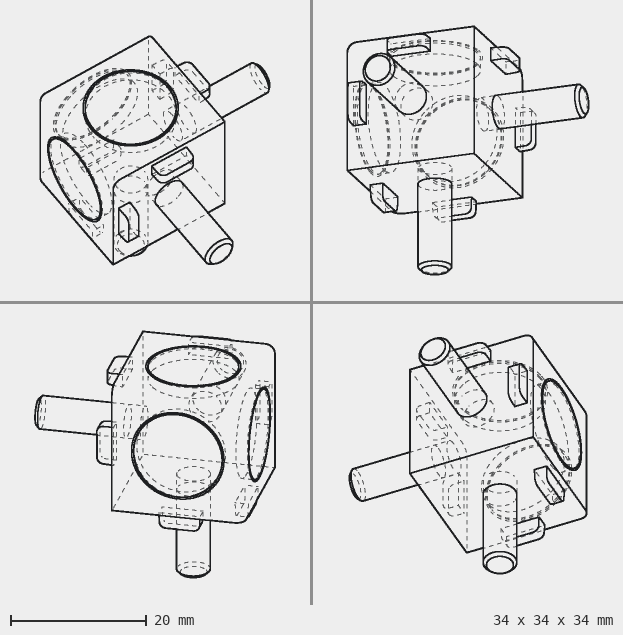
import cadquery as cq


OVERALL = 33.95
CUBE = 20.0
HALF_CUBE = CUBE / 2
CUBE_FILLET = 1.5

PIN_DIAMETER = 5.0
PIN_LENGTH_OUTSIDE = 13.5
PIN_CHAMFER = 0.5
PIN_DEPTH = PIN_DIAMETER / 2

CAP_MOUTH_DIAMETER = 14.02
CAP_CHAMFER = 0.3
CAP_CHAMFER_ANGLE = 45
CAP_DIAMETER = CAP_MOUTH_DIAMETER - 2 * CAP_CHAMFER
CAP_DOME_RISE = OVERALL - CUBE - PIN_LENGTH_OUTSIDE
CAP_DEPTH = 2.0

TAB_LENGTH = 6.2
TAB_THICKNESS = 2.0
TAB_HEIGHT = 2.5
TAB_DRAFT = 2.0
TAB_CORNER_RADIUS = 1.0
TAB_EDGE_DISTANCE = 1.0
TAB_OFFSET = HALF_CUBE - TAB_EDGE_DISTANCE - TAB_THICKNESS / 2

DIAGONAL = (1, 1, -1)
TURNS = (0, 120, 240)

PIN_FACE = cq.Plane(origin=(HALF_CUBE, 0, 0), xDir=(0, 1, 0), normal=(1, 0, 0))
CAPPED_FACE = cq.Plane(origin=(-HALF_CUBE, 0, 0), xDir=(0, -1, 0), normal=(-1, 0, 0))


def turned(body, angle):
    """A copy of a body, turned about the cube diagonal."""
    return body.rotate((0, 0, 0), DIAGONAL, angle)


def make_tab(y, z, turn):
    """A drafted tab on the +X face with two rounded corners at its outer end."""
    tab = (
        cq.Workplane("XY")
        .rect(TAB_LENGTH, TAB_THICKNESS)
        .extrude(TAB_HEIGHT, taper=TAB_DRAFT)
        .faces(">Z").edges("|Y").fillet(TAB_CORNER_RADIUS)
        .rotate((0, 0, 0), (0, 0, 1), turn)
    )
    placed = tab.val().moved(cq.Location(PIN_FACE)).moved(cq.Location(cq.Vector(0, y, z)))
    return cq.Workplane(placed)


def make_pin_hole():
    return cq.Workplane(PIN_FACE).circle(PIN_DIAMETER / 2).extrude(-PIN_DEPTH)


def make_cap_recess():
    """The round recess for a cap, with a chamfered rim."""
    recess = cq.Workplane(CAPPED_FACE).circle(CAP_DIAMETER / 2).extrude(-CAP_DEPTH)
    rim = (
        cq.Workplane(CAPPED_FACE)
        .circle(CAP_MOUTH_DIAMETER / 2)
        .extrude(-CAP_CHAMFER, taper=CAP_CHAMFER_ANGLE)
    )
    return recess.union(rim)


def make_housing():
    """The cube with its capped edges rounded, the tabs added and the holes and recesses cut."""
    housing = cq.Workplane("XY").box(CUBE, CUBE, CUBE)
    housing = housing.edges("(<X and <Y) or (<X and >Z) or (<Y and >Z)").fillet(CUBE_FILLET)
    tab_near_plus_z = make_tab(0, TAB_OFFSET, 0)
    tab_near_minus_y = make_tab(-TAB_OFFSET, 0, 90)
    pin_hole = make_pin_hole()
    cap_recess = make_cap_recess()
    for angle in TURNS:
        housing = housing.union(turned(tab_near_plus_z, angle))
        housing = housing.union(turned(tab_near_minus_y, angle))
        housing = housing.cut(turned(pin_hole, angle))
        housing = housing.cut(turned(cap_recess, angle))
    return housing


def make_pin():
    """A round pin on the X axis with a chamfered tip."""
    return (
        cq.Workplane(PIN_FACE)
        .workplane(offset=-PIN_DEPTH)
        .circle(PIN_DIAMETER / 2)
        .extrude(PIN_DEPTH + PIN_LENGTH_OUTSIDE)
        .faces(">X").chamfer(PIN_CHAMFER)
    )


def make_cap():
    """A round plug on the X axis, with a spherical dome that starts level with the -X face."""
    plug = (
        cq.Workplane(CAPPED_FACE)
        .workplane(offset=-CAP_DEPTH)
        .circle(CAP_DIAMETER / 2)
        .extrude(CAP_DEPTH + CAP_DOME_RISE)
    )
    dome_radius = ((CAP_DIAMETER / 2) ** 2 + CAP_DOME_RISE**2) / (2 * CAP_DOME_RISE)
    crown = -HALF_CUBE - CAP_DOME_RISE
    ball = cq.Workplane("XY").sphere(dome_radius).translate((crown + dome_radius, 0, 0))
    return plug.intersect(ball)


housing = make_housing()
pins = [turned(make_pin(), angle) for angle in TURNS]
caps = [turned(make_cap(), angle) for angle in TURNS]

result = cq.Compound.makeCompound(
    [housing.val(), *[pin.val() for pin in pins], *[cap.val() for cap in caps]]
)